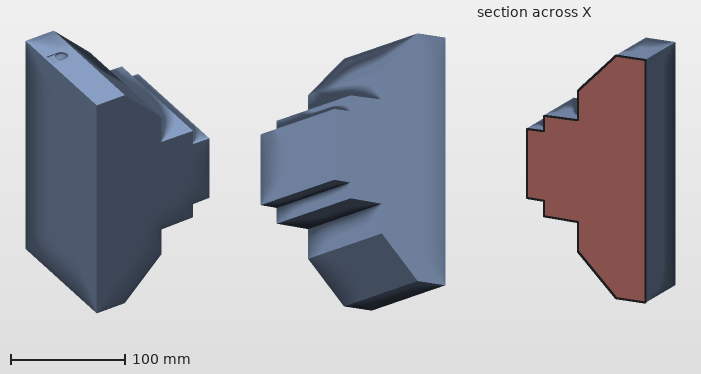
import cadquery as cq
import math

width = 116.2
depth = 117.0
height = 222.95

rim_depth = 29.15
base_depth = 67.0
middle_depth = 100.0

shoulder_run = base_depth - rim_depth

draft_angle = 1.0
draft_slope = math.tan(math.radians(draft_angle))
middle_root_half = 46.9
middle_tip_half = middle_root_half - draft_slope * (middle_depth - base_depth)
nose_root_half = 32.15
nose_tip_half = nose_root_half - draft_slope * (depth - middle_depth)

recess_width = 11.6
recess_center_x = 36.1
recess_front_y = 2.5
recess_round_y = 14.3
recess_depth = 1.0

pocket_depth = 1.0


def make_body():
    """Symmetric stepped profile, extruded over the full width."""
    half_height = height / 2
    upper_half = [
        (0, half_height),
        (rim_depth, half_height),
        (base_depth, half_height - shoulder_run),
        (base_depth, middle_root_half),
        (middle_depth, middle_tip_half),
        (middle_depth, nose_root_half),
        (depth, nose_tip_half),
    ]
    lower_half = [(y, -z) for y, z in reversed(upper_half)]
    return cq.Workplane("YZ").polyline(upper_half + lower_half).close().extrude(width)


def make_recess():
    """Cutter for the U-shaped recess and the round pocket in its floor."""
    radius = recess_width / 2
    floor_z = height / 2 - recess_depth
    left_x = recess_center_x - radius
    right_x = recess_center_x + radius
    recess = (
        cq.Workplane("XY", origin=(0, 0, floor_z))
        .moveTo(left_x, recess_front_y)
        .lineTo(right_x, recess_front_y)
        .lineTo(right_x, recess_round_y)
        .threePointArc((recess_center_x, recess_round_y + radius), (left_x, recess_round_y))
        .close()
        .extrude(recess_depth)
    )
    pocket = (
        cq.Workplane("XY", origin=(recess_center_x, recess_round_y, floor_z - pocket_depth))
        .circle(radius)
        .extrude(pocket_depth + recess_depth)
    )
    return recess.union(pocket)


result = make_body().cut(make_recess())